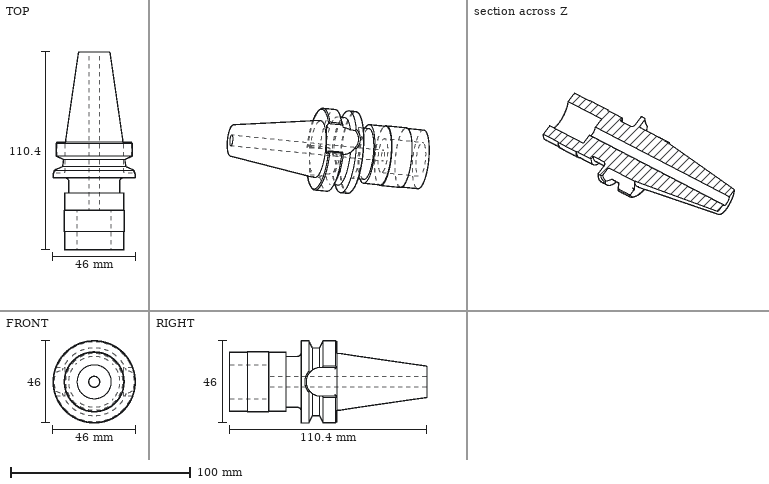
import cadquery as cq
import math


gauge_radius = 31.75 / 2
taper_length = 48.4
taper_ratio = 7 / 24
shank_end_fillet = 0.8

collar_radius = 15.92
collar_flare_length = 0.3

flange_radius = 23.0
flange_back = -2.0
flange_width = 20.0
flange_front = flange_back - flange_width
flange_back_chamfer = 0.65
flange_front_chamfer = 0.3

groove_center = -13.65
groove_depth = 4.0
groove_bottom_width = 4.0
groove_mouth_width = 8.0

slot_half_width = 8.05
slot_floor = 16.3
slot_arc_center = -11.0
slot_floor_fillet = 0.9
slot_mouth_chamfer = 0.8
fillet_end_setback = 0.2

neck_radius = 14.25
neck_fillet = 2.0
head_radius = 16.5
head_back = -30.3
sleeve_radius = 16.8
sleeve_back = -39.9
sleeve_front = -51.9
sleeve_chamfer = 0.25
nose_end = -62.0

socket_radius = 9.5
socket_depth = sleeve_back - nose_end
through_radius = 3.0


def turn(profile):
    """Revolve an (x, y) half profile about the Y axis."""
    return profile.close().revolve(360, (0, 0, 0), (0, 1, 0))


def make_flange_blank():
    """Plain disc, as wide and as large as the flange."""
    return cq.Workplane("XZ", origin=(0, flange_back, 0)).circle(flange_radius).extrude(flange_width)


def make_flange_envelope():
    """Turned flange shape with its edge chamfers and V-groove."""
    half_bottom = groove_bottom_width / 2
    half_mouth = groove_mouth_width / 2
    bottom_radius = flange_radius - groove_depth
    return turn(
        cq.Workplane("XY")
        .moveTo(0, flange_back)
        .lineTo(flange_radius - flange_back_chamfer, flange_back)
        .lineTo(flange_radius, flange_back - flange_back_chamfer)
        .lineTo(flange_radius, groove_center + half_mouth)
        .lineTo(bottom_radius, groove_center + half_bottom)
        .lineTo(bottom_radius, groove_center - half_bottom)
        .lineTo(flange_radius, groove_center - half_mouth)
        .lineTo(flange_radius, flange_front + flange_front_chamfer)
        .lineTo(flange_radius - flange_front_chamfer, flange_front)
        .lineTo(0, flange_front)
    )


def make_slot_cutter():
    """Round-ended drive slot on the +X side, open toward the shank."""
    open_end = flange_back + flange_width
    return (
        cq.Workplane("YZ", origin=(slot_floor, 0, 0))
        .moveTo(open_end, -slot_half_width)
        .lineTo(slot_arc_center, -slot_half_width)
        .threePointArc((slot_arc_center - slot_half_width, 0), (slot_arc_center, slot_half_width))
        .lineTo(open_end, slot_half_width)
        .close()
        .extrude(flange_radius)
        .faces("<X")
        .edges()
        .fillet(slot_floor_fillet)
    )


def make_fillet_end_cutter():
    """Bevels the shank-side ends of both floor fillets of a slot at 45 degrees."""
    corner = flange_back - fillet_end_setback
    inner_half_width = slot_half_width - slot_floor_fillet
    outline = [
        (flange_back, -slot_half_width),
        (corner, -slot_half_width),
        (corner - slot_floor_fillet, -inner_half_width),
        (corner - slot_floor_fillet, inner_half_width),
        (corner, slot_half_width),
        (flange_back, slot_half_width),
    ]
    return (
        cq.Workplane("YZ", origin=(slot_floor, 0, 0))
        .polyline(outline)
        .close()
        .extrude(slot_floor_fillet)
    )


def cut_drive_slots(flange):
    """Cut the drive slot on both X sides."""
    cutter = make_slot_cutter().union(make_fillet_end_cutter())
    for angle in (0, 180):
        flange = flange.cut(cutter.rotate((0, 0, 0), (0, 1, 0), angle))
    return flange


def chamfer_slot_mouths(flange):
    """Break the edges where the slot walls meet the flange rim.

    They are the only rim edges within the width and length of a slot.
    """
    tolerance = 0.01
    slot_end = slot_arc_center - slot_half_width - tolerance
    mouth_edges = []
    for edge in flange.edges().vals():
        middle = edge.positionAt(0.5)
        on_rim = abs(math.hypot(middle.x, middle.z) - flange_radius) < tolerance
        on_slot = abs(middle.z) < slot_half_width + tolerance
        beside_slot = middle.y > slot_end
        if on_rim and on_slot and beside_slot:
            mouth_edges.append(edge)
    return flange.newObject(mouth_edges).chamfer(slot_mouth_chamfer)


def make_shank():
    """Taper with a rounded end, flaring slightly into the collar behind the flange."""
    end_radius = gauge_radius - taper_length * taper_ratio / 2
    return (
        turn(
            cq.Workplane("XY")
            .moveTo(0, taper_length)
            .lineTo(end_radius, taper_length)
            .lineTo(gauge_radius, 0)
            .lineTo(collar_radius, -collar_flare_length)
            .lineTo(collar_radius, flange_back)
            .lineTo(0, flange_back)
        )
        .faces(">Y")
        .edges()
        .fillet(shank_end_fillet)
    )


def make_head():
    """Filleted neck and cylindrical head with a slightly larger sleeve around its middle."""
    return turn(
        cq.Workplane("XY")
        .moveTo(0, flange_front)
        .lineTo(neck_radius + neck_fillet, flange_front)
        .radiusArc((neck_radius, flange_front - neck_fillet), -neck_fillet)
        .lineTo(neck_radius, head_back)
        .lineTo(head_radius, head_back)
        .lineTo(head_radius, sleeve_back)
        .lineTo(sleeve_radius - sleeve_chamfer, sleeve_back)
        .lineTo(sleeve_radius, sleeve_back - sleeve_chamfer)
        .lineTo(sleeve_radius, sleeve_front)
        .lineTo(head_radius, sleeve_front)
        .lineTo(head_radius, nose_end)
        .lineTo(0, nose_end)
    )


def make_bore(radius, depth):
    """Bore running from the nose face toward the shank."""
    return cq.Workplane("XZ", origin=(0, nose_end, 0)).circle(radius).extrude(-depth)


flange = chamfer_slot_mouths(cut_drive_slots(make_flange_blank()))
flange = flange.intersect(make_flange_envelope())

result = (
    flange.union(make_shank())
    .union(make_head())
    .cut(make_bore(socket_radius, socket_depth))
    .cut(make_bore(through_radius, taper_length - nose_end))
)